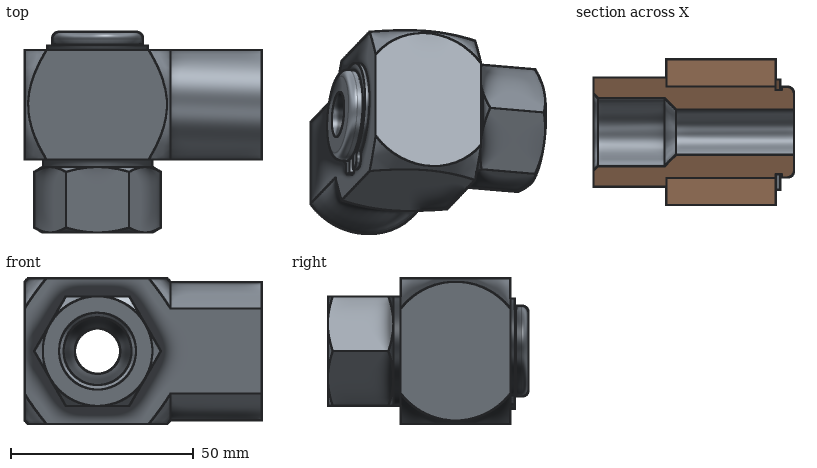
import cadquery as cq
import math


overall_length = 65.0
overall_depth = 55.0

block_size = 40.0
block_thickness = 30.0
neck_diameter = 38.0
end_cone_angle = 45.0

hexagon_sides = 6
hexagon_flats = 30.0
hexagon_chamfer_angle = 30.0
collar_length = 2.0
shank_radius = 12.5
cap_length = 5.0
cap_fillet = 1.95
socket_radius = 9.3
socket_mouth_radius = 10.5
socket_depth = 19.5
socket_tip_angle = 45.0
passage_radius = 6.2
groove_width = 1.55

ring_thickness = 1.25
ring_inner_radius = 11.6
ring_outer_radius = 13.8
ring_eccentricity = 0.7
ring_gap = 3.0
lug_reach = 15.8
lug_half_width = 5.3
lug_corner_fillet = 2.1
lug_root_fillet = 1.35

block_half = block_size / 2
front_face = -block_thickness / 2
back_face = block_thickness / 2
neck_end = overall_length - block_half
cap_end = back_face + cap_length
collar_end = front_face - collar_length
head_end = cap_end - overall_depth
head_length = collar_end - head_end


def cylinder_along_y(radius, start, end):
    """Solid cylinder on the swivel axis between two Y positions."""
    return cq.Workplane("XZ", origin=(0, start, 0)).circle(radius).extrude(start - end)


def revolve_about_y(outline):
    """Revolve a closed (radius, Y) outline about the swivel axis."""
    return cq.Workplane("XY").polyline(outline).close().revolve(360, (0, 0), (0, 1))


def make_cone_envelope():
    """Double cone about X that trims the corners of both ends of the block."""
    end_radius = neck_diameter / 2
    middle_radius = end_radius + block_half * math.tan(math.radians(end_cone_angle))
    outline = [
        (-block_half, 0),
        (-block_half, end_radius),
        (0, middle_radius),
        (block_half, end_radius),
        (block_half, 0),
    ]
    return cq.Workplane("XY").polyline(outline).close().revolve(360, (0, 0), (1, 0))


def make_housing():
    block = cq.Workplane("XY").box(block_size, block_thickness, block_size)
    block = block.intersect(make_cone_envelope())
    neck = cq.Workplane("YZ").circle(neck_diameter / 2).extrude(neck_end)
    neck_flats = cq.Workplane("XY").box(2 * neck_end, block_thickness, neck_diameter)
    neck = neck.intersect(neck_flats)
    bore = cylinder_along_y(shank_radius, front_face, back_face)
    return block.union(neck).cut(bore)


def make_hexagon_head():
    """Hexagon with its corners coned off at both ends."""
    flat_radius = hexagon_flats / 2
    corner_diameter = hexagon_flats / math.cos(math.pi / hexagon_sides)
    slope = math.tan(math.radians(hexagon_chamfer_angle))
    middle_radius = flat_radius + head_length / 2 / slope
    head_plane = cq.Workplane("XZ", origin=(0, collar_end, 0))
    hexagon = head_plane.polygon(hexagon_sides, corner_diameter).extrude(head_length)
    cone_outline = [
        (0, head_end),
        (flat_radius, head_end),
        (middle_radius, (head_end + collar_end) / 2),
        (flat_radius, collar_end),
        (0, collar_end),
    ]
    return hexagon.intersect(revolve_about_y(cone_outline))


def make_bolt_bore():
    """Chamfered socket with a conical bottom, leading into the through passage."""
    mouth_depth = socket_mouth_radius - socket_radius
    tip_depth = (socket_radius - passage_radius) / math.tan(math.radians(socket_tip_angle))
    outline = [
        (0, head_end),
        (socket_mouth_radius, head_end),
        (socket_radius, head_end + mouth_depth),
        (socket_radius, head_end + socket_depth),
        (passage_radius, head_end + socket_depth + tip_depth),
        (passage_radius, cap_end),
        (0, cap_end),
    ]
    return revolve_about_y(outline)


def make_bolt():
    collar = cylinder_along_y(hexagon_flats / 2, collar_end, front_face)
    shank = cylinder_along_y(shank_radius, front_face, cap_end).faces(">Y").edges().fillet(cap_fillet)
    groove_end = back_face + groove_width
    groove = cylinder_along_y(shank_radius, back_face, groove_end).cut(
        cylinder_along_y(ring_inner_radius, back_face, groove_end)
    )
    bolt = make_hexagon_head().union(collar).union(shank)
    return bolt.cut(groove).cut(make_bolt_bore())


def make_retaining_ring():
    ring_plane = cq.Workplane("XZ", origin=(0, back_face, 0))
    disc = ring_plane.center(0, ring_eccentricity).circle(ring_outer_radius).extrude(-ring_thickness)
    lugs = (
        ring_plane.center(0, -lug_reach / 2)
        .rect(2 * lug_half_width, lug_reach)
        .extrude(-ring_thickness)
        .edges("|Y and <Z")
        .fillet(lug_corner_fillet)
    )
    root_drop = math.sqrt(ring_outer_radius**2 - lug_half_width**2) - ring_eccentricity
    ring = disc.union(lugs)
    for side in (-1, 1):
        root = (side * lug_half_width, back_face + ring_thickness / 2, -root_drop)
        ring = ring.edges(cq.selectors.NearestToPointSelector(root)).fillet(lug_root_fillet)
    opening = ring_plane.circle(ring_inner_radius).extrude(-ring_thickness)
    gap = ring_plane.center(0, -lug_reach / 2).rect(ring_gap, lug_reach).extrude(-ring_thickness)
    return ring.cut(opening).cut(gap)


housing = make_housing()
bolt = make_bolt()
retaining_ring = make_retaining_ring()

result = cq.Compound.makeCompound(
    [housing.solids().val(), bolt.solids().val(), retaining_ring.solids().val()]
)